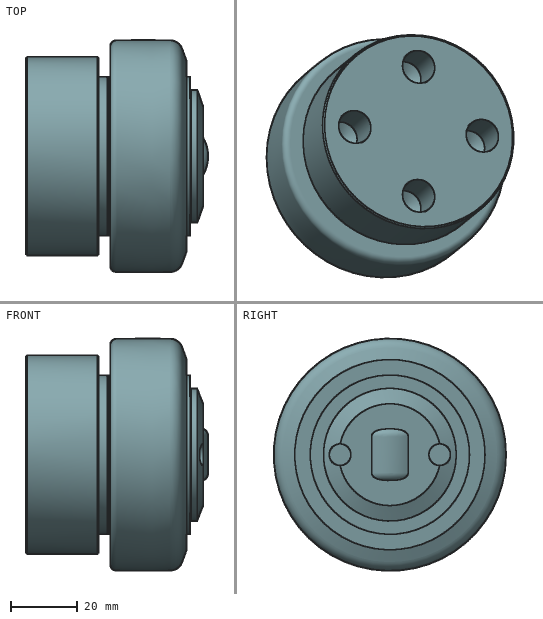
import cadquery as cq
import math

total_length = 55.0

block_diameter = 60.0
block_length = 22.0
block_chamfer = 0.5
pin_hole_diameter = 10.11
pin_hole_depth = 15.0
pin_hole_circle_radius = 20.0
pin_hole_count = 4
drill_tip_angle = 118.0

shaft_diameter = 48.0
shaft_end = 49.5
groove_start = 24.5
groove_width = 0.5
groove_diameter = 47.5

roller_start = 25.4
roller_end = 48.5
roller_diameter = 70.1
crown_radius = 500.0
rear_edge_radius = 2.0
front_edge_radius = 4.0
front_rim_end = 43.4
shoulder_angle = 20.0

neck_diameter = 35.2
cap_start = 49.8
cap_diameter = 40.0
cap_rim_end = 51.65
cap_face = 53.5
cap_face_diameter = 30.7
spanner_hole_diameter = 6.5
spanner_hole_depth = 5.0
spanner_hole_offset = 15.0

pad_radius = 10.8
pad_end_radius = 2.5
pad_straight_length = 11.0


def turned(profile):
    return profile.close().revolve(360, (0, 0, 0), (1, 0, 0))


def cylinder_along_x(diameter, start, end):
    return cq.Workplane("YZ", origin=(start, 0, 0)).circle(diameter / 2).extrude(end - start)


def make_block():
    block = cylinder_along_x(block_diameter, 0, block_length)
    return block.edges().chamfer(block_chamfer)


def make_shaft():
    groove_end = groove_start + groove_width
    rear = cylinder_along_x(shaft_diameter, block_length, groove_start)
    groove_core = cylinder_along_x(groove_diameter, groove_start, groove_end)
    front = cylinder_along_x(shaft_diameter, groove_end, shaft_end)
    return rear.union(groove_core).union(front)


def make_roller():
    rear_rim_start = roller_start + rear_edge_radius
    crown_half_width = (front_rim_end - rear_rim_start) / 2
    crown_middle = rear_rim_start + crown_half_width
    crown_drop = crown_radius - math.sqrt(crown_radius**2 - crown_half_width**2)
    rim_radius = roller_diameter / 2 - crown_drop

    rear_mid_offset = rear_edge_radius * (1 - math.sqrt(0.5))
    rear_mid = (roller_start + rear_mid_offset, rim_radius - rear_mid_offset)

    def front_round_point(angle):
        x = front_rim_end + front_edge_radius * math.cos(math.radians(angle))
        r = rim_radius - front_edge_radius * (1 - math.sin(math.radians(angle)))
        return x, r

    shoulder_top = front_round_point(shoulder_angle)
    front_mid = front_round_point((90 + shoulder_angle) / 2)
    shoulder_drop = (roller_end - shoulder_top[0]) / math.tan(math.radians(shoulder_angle))

    profile = (
        cq.Workplane("XY")
        .moveTo(roller_start, 0)
        .lineTo(roller_start, rim_radius - rear_edge_radius)
        .threePointArc(rear_mid, (rear_rim_start, rim_radius))
        .threePointArc((crown_middle, roller_diameter / 2), (front_rim_end, rim_radius))
        .threePointArc(front_mid, shoulder_top)
        .lineTo(roller_end, shoulder_top[1] - shoulder_drop)
        .lineTo(roller_end, 0)
    )
    return turned(profile)


def make_cap():
    profile = (
        cq.Workplane("XY")
        .moveTo(shaft_end, 0)
        .lineTo(shaft_end, neck_diameter / 2)
        .lineTo(cap_start, neck_diameter / 2)
        .lineTo(cap_start, cap_diameter / 2)
        .lineTo(cap_rim_end, cap_diameter / 2)
        .lineTo(cap_face, cap_face_diameter / 2)
        .lineTo(cap_face, 0)
    )
    return turned(profile)


def make_pad():
    length = pad_straight_length + 2 * pad_end_radius
    barrel = (
        cq.Workplane("XY", origin=(total_length - pad_radius, 0, -length / 2))
        .circle(pad_radius)
        .extrude(length)
        .edges()
        .fillet(pad_end_radius)
    )
    proud_height = total_length - cap_face
    keep = cq.Workplane("XY").box(proud_height, 2 * pad_radius, length)
    return barrel.intersect(keep.translate((cap_face + proud_height / 2, 0, 0)))


def make_pin_hole():
    radius = pin_hole_diameter / 2
    tip_length = radius / math.tan(math.radians(drill_tip_angle / 2))
    profile = (
        cq.Workplane("XY")
        .lineTo(0, radius)
        .lineTo(pin_hole_depth, radius)
        .lineTo(pin_hole_depth + tip_length, 0)
    )
    return turned(profile)


def cut_pin_holes(body):
    hole = make_pin_hole().translate((0, pin_hole_circle_radius, 0))
    for index in range(pin_hole_count):
        angle = index * 360 / pin_hole_count
        body = body.cut(hole.rotate((0, 0, 0), (1, 0, 0), angle))
    return body


def cut_spanner_holes(body):
    hole = cylinder_along_x(spanner_hole_diameter, cap_face - spanner_hole_depth, cap_face)
    for side in (-1, 1):
        body = body.cut(hole.translate((0, side * spanner_hole_offset, 0)))
    return body


body = make_block().union(make_shaft()).union(make_roller()).union(make_cap())
body = cut_pin_holes(body)
body = cut_spanner_holes(body)
result = body.union(make_pad())